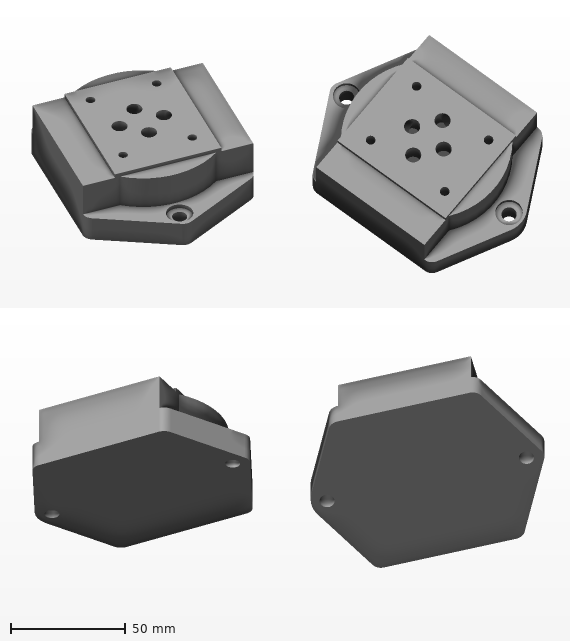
import cadquery as cq
import math

flange_top = 12.0
shoulder_top = 28.0
pad_top = 30.0

block_width = 60.0
block_depth = 80.0
pad_depth = 50.0
boss_diameter = 75.0

flange_length = 105.0
flange_slope = math.radians(27.2)
left_nose_radius = 12.0
right_nose_radius = 5.0
flange_corner_radius = 5.0

datum_x = -0.3
datum_y = -0.4

mount_offset = 45.0
mount_diameter = 6.6
mount_counterbore = 12.0
mount_counterbore_depth = 2.0

port_diameter = 7.0
port_offset_x = 8.7
port_offset_y = 10.4
port_depth = 10.0
passage_diameter = 6.0
passage_tilt = 60.0
passage_length = 21.0

screw_diameter = 4.2
screw_depth = 12.0
drill_point_angle = 118.0
left_screw_x = -21.5
left_screw_y = 15.5
right_screw_x = 19.0
right_screw_y = 16.3


def make_flange():
    """Hexagonal flange with rounded corners and two different nose radii."""
    nose_gain = 1 / math.cos(flange_slope) - 1
    sharp_span = flange_length + nose_gain * (left_nose_radius + right_nose_radius)
    left_tip = -flange_length / 2 - nose_gain * left_nose_radius
    right_tip = left_tip + sharp_span
    half_depth = block_depth / 2
    run = half_depth * math.tan(flange_slope)
    outline = [
        (left_tip, 0),
        (left_tip + run, -half_depth),
        (right_tip - run, -half_depth),
        (right_tip, 0),
        (right_tip - run, half_depth),
        (left_tip + run, half_depth),
    ]
    flange = cq.Workplane("XY").polyline(outline).close().extrude(flange_top)
    flange = flange.edges("|Z and <X").fillet(left_nose_radius)
    flange = flange.edges("|Z and >X").fillet(right_nose_radius)
    for side in ("<Y", ">Y"):
        flange = flange.edges("|Z").edges(side).fillet(flange_corner_radius)
    return flange


def make_body():
    """Flange, block, round boss and raised pad joined together."""
    block = cq.Workplane("XY").box(block_width, block_depth, shoulder_top, centered=(True, True, False))
    pad = cq.Workplane("XY").box(block_width, pad_depth, pad_top, centered=(True, True, False))
    boss = cq.Workplane("XY").circle(boss_diameter / 2).extrude(shoulder_top)
    return make_flange().union(block).union(pad).union(boss)


def cut_mounting_holes(body):
    """Counterbored through hole at each end of the flange."""
    return (
        body.copyWorkplane(cq.Workplane("XY", origin=(datum_x, datum_y, flange_top)))
        .pushPoints([(-mount_offset, 0), (mount_offset, 0)])
        .cboreHole(mount_diameter, mount_counterbore, mount_counterbore_depth)
    )


def make_port(direction_x, direction_y):
    """Vertical port with a blind passage that slopes down and outward from the port mouth."""
    x = datum_x + direction_x * port_offset_x
    y = datum_y + direction_y * port_offset_y
    port = cq.Workplane("XY", origin=(x, y, pad_top)).circle(port_diameter / 2).extrude(-port_depth)

    tilt = math.radians(passage_tilt)
    direction = cq.Vector(direction_x * math.cos(tilt), direction_y * math.cos(tilt), -math.sin(tilt))
    entry = cq.Vector(x, y, pad_top)
    start = entry - direction * port_diameter
    passage = cq.Solid.makeCylinder(
        passage_diameter / 2, port_diameter + passage_length, start, direction
    )
    return port.union(cq.Workplane(passage))


def make_screw_hole(x, y):
    """Blind drilled hole with a conical end."""
    radius = screw_diameter / 2
    point_depth = radius / math.tan(math.radians(drill_point_angle / 2))
    profile = [(0, 0), (radius, 0), (radius, -screw_depth), (0, -screw_depth - point_depth)]
    hole = cq.Workplane("XZ").polyline(profile).close().revolve(360, (0, 0, 0), (0, 1, 0))
    return hole.translate((datum_x + x, datum_y + y, pad_top))


result = cut_mounting_holes(make_body())

for port_direction in [(1, 0), (-1, 0), (0, 1), (0, -1)]:
    result = result.cut(make_port(*port_direction))

for side in (1, -1):
    result = result.cut(make_screw_hole(left_screw_x, side * left_screw_y))
    result = result.cut(make_screw_hole(right_screw_x, side * right_screw_y))